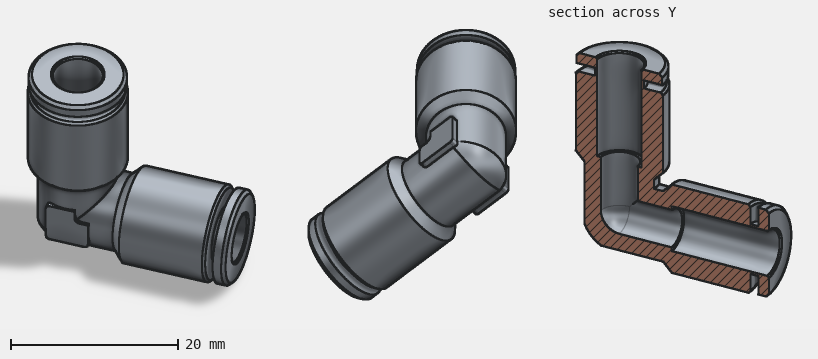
import cadquery as cq

overall_length = 26.5
sleeve_radius = 12.0 / 2
arm_length = overall_length - sleeve_radius

neck_radius = 9.6 / 2
stem_radius = 6.8 / 2
collar_radius = 11.8 / 2
tube_bore_radius = 6.0 / 2
flow_bore_radius = 5.0 / 2

cone_length = sleeve_radius - neck_radius
cone_start = sleeve_radius
cone_end = cone_start + cone_length
sleeve_end = 18.0
collar_start = 19.0
tube_stop = cone_end

sleeve_chamfer = 0.32
collar_chamfer = 0.42
mouth_chamfer = 0.2

corner_offset = 0.48
corner_radius = 4.75
corner_start = 1.2

pad_low = -2.35
pad_high = 2.97
pad_notch = 1.25
pad_half_width = 4.98
pad_corner_fillet = 0.5
pad_notch_fillet = 0.8


def swap_arms(body):
    """Exchange the X and Z directions: half a turn about the elbow's diagonal."""
    return body.rotate((0, 0, 0), (1, 0, 1), 180)


def make_arm():
    """Vertical arm, mitred on the plane X = Z at its lower end."""
    arm = (
        cq.Workplane("XZ")
        .moveTo(0, -neck_radius)
        .lineTo(neck_radius, -neck_radius)
        .lineTo(neck_radius, cone_start)
        .lineTo(sleeve_radius, cone_end)
        .lineTo(sleeve_radius, sleeve_end - sleeve_chamfer)
        .lineTo(sleeve_radius - sleeve_chamfer, sleeve_end)
        .lineTo(stem_radius, sleeve_end)
        .lineTo(stem_radius, collar_start)
        .lineTo(collar_radius, collar_start)
        .lineTo(collar_radius, arm_length - collar_chamfer)
        .lineTo(collar_radius - collar_chamfer, arm_length)
        .lineTo(0, arm_length)
        .close()
        .revolve(360, (0, 0, 0), (0, 1, 0))
    )
    mitre_side = (
        cq.Workplane("XZ")
        .polyline([
            (-overall_length, -overall_length),
            (overall_length, overall_length),
            (-overall_length, overall_length),
        ])
        .close()
        .extrude(overall_length / 2, both=True)
    )
    return arm.intersect(mitre_side)


def make_bore():
    """Stepped bore of the vertical arm, with a spherical end at the axis crossing."""
    bore = (
        cq.Workplane("XZ")
        .moveTo(0, 0)
        .lineTo(flow_bore_radius, 0)
        .lineTo(flow_bore_radius, tube_stop)
        .lineTo(tube_bore_radius, tube_stop)
        .lineTo(tube_bore_radius, arm_length - mouth_chamfer)
        .lineTo(tube_bore_radius + mouth_chamfer, arm_length)
        .lineTo(0, arm_length)
        .close()
        .revolve(360, (0, 0, 0), (0, 1, 0))
    )
    return bore.union(cq.Workplane("XY").sphere(flow_bore_radius))


def make_corner_waste():
    """Material outside the rounding sphere at the elbow's outer corner."""
    block_size = 2 * neck_radius
    block = (
        cq.Workplane("XY")
        .box(block_size, 2 * block_size, block_size)
        .translate((-corner_start - neck_radius, 0, -corner_start - neck_radius))
    )
    ball = (
        cq.Workplane("XY")
        .sphere(corner_radius)
        .translate((-corner_offset, 0, -corner_offset))
    )
    return block.cut(ball)


def make_pads():
    """L-shaped plate through the elbow whose two faces stand out as pads."""
    plate = (
        cq.Workplane("XZ")
        .moveTo(pad_low, pad_low)
        .lineTo(pad_high, pad_low)
        .lineTo(pad_high, pad_notch)
        .lineTo(pad_notch, pad_notch)
        .lineTo(pad_notch, pad_high)
        .lineTo(pad_low, pad_high)
        .close()
        .extrude(pad_half_width, both=True)
    )
    outer_corners = [(pad_low, pad_low), (pad_high, pad_low), (pad_low, pad_high)]
    for x, z in outer_corners:
        plate = plate.edges(cq.NearestToPointSelector((x, 0, z))).fillet(pad_corner_fillet)
    notch_edge = cq.NearestToPointSelector((pad_notch, 0, pad_notch))
    return plate.edges(notch_edge).fillet(pad_notch_fillet)


arm = make_arm()
bore = make_bore()
body = arm.union(swap_arms(arm))
body = body.cut(make_corner_waste())
body = body.union(make_pads())
result = body.cut(bore).cut(swap_arms(bore))